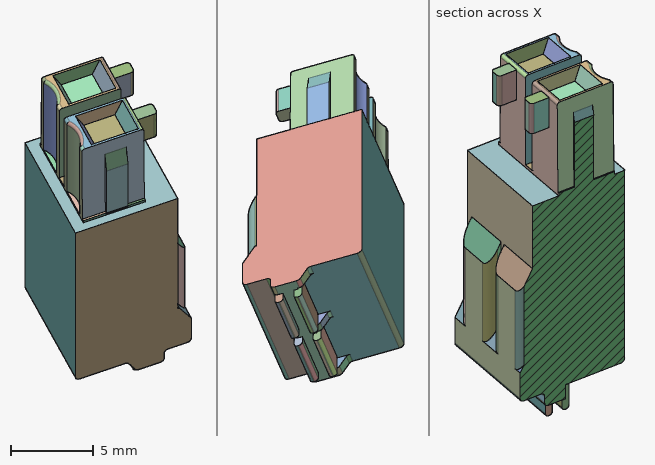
import cadquery as cq
import math

width = 7.7
depth = 7.7
height = 22.92
pole_pitch = 3.53
pole_centers = (-pole_pitch / 2, pole_pitch / 2)

body_bottom = 1.82
body_top = 16.1
upper_back_y = 6.79
ledge_back_y = 6.89
body_edge_radius = 0.3

chamfer_angle = math.radians(60)
lower_chamfer_start = 4.03
lobe_flat_top = 9.86
lobe_width = 3.19
lobe_radius = 0.65

foot_bottom = 0.78
foot_back_y = 5.9
foot_tip_y = 4.05
foot_angle = math.radians(60)
foot_outer_radius = 0.3
foot_inner_radius = 0.25
pin_thickness = 0.52
pin_width = 2.92
pin_center_pitch = 1.22
pin_side_gap = 0.07
front_pin_y = 4.35
pin_tip_radius = 0.24

base_width = 6.6
base_top = 16.295
tower_width = 2.8
tower_draft = 0.08
tower_front_y = 0.76
tower_back_y = 4.87
tower_edge_radius = 0.2
groove_width = 1.94
groove_depth = 0.32

funnel_wall = 0.15
funnel_top_front_y = 1.45
funnel_top_back_y = 4.57
funnel_side_taper = 0.15
funnel_floor_front_y = 1.94
funnel_floor_back_y = 4.0
funnel_depth = 0.95

latch_reach = 0.2
latch_front_y = 2.28
latch_back_y = 3.7
latch_top = 21.82
latch_ramp_end = 20.43

post_width = 0.84
post_back_y = 6.18
post_top = 22.79
post_bottom = 20.56
post_radius = 0.23


def box(x_min, x_max, y_min, y_max, z_min, z_max):
    """Block between the given limits."""
    return (
        cq.Workplane("XY", origin=((x_min + x_max) / 2, (y_min + y_max) / 2, z_min))
        .rect(x_max - x_min, y_max - y_min)
        .extrude(z_max - z_min)
    )


def side_profile(points, span):
    """Extrude a closed (y, z) outline along X, centred on zero."""
    return cq.Workplane("YZ").polyline(points).close().extrude(span / 2, both=True)


def make_body():
    """Housing whose deeper lower part ends in a chamfer and a narrow ledge."""
    ledge_z = lower_chamfer_start + (depth - ledge_back_y) * math.tan(chamfer_angle)
    body = side_profile(
        [
            (0, body_bottom),
            (depth, body_bottom),
            (depth, lower_chamfer_start),
            (ledge_back_y, ledge_z),
            (upper_back_y, ledge_z),
            (upper_back_y, body_top),
            (0, body_top),
        ],
        width,
    )
    return body.edges("|X and <Z").fillet(body_edge_radius)


def make_back_bulge():
    """Lobes rounded along their back edges and cut off by a slope at the top."""
    bulge = cq.Workplane()
    for center in pole_centers:
        lobe = box(
            center - lobe_width / 2, center + lobe_width / 2, 0, depth, lower_chamfer_start, body_top
        )
        bulge = bulge.union(lobe.edges("|Z and >Y").fillet(lobe_radius))
    slope_rise = depth * math.tan(chamfer_angle)
    envelope = side_profile(
        [
            (0, lower_chamfer_start),
            (depth, lower_chamfer_start),
            (depth, lobe_flat_top),
            (0, lobe_flat_top + slope_rise),
        ],
        width,
    )
    return bulge.intersect(envelope)


def make_foot():
    """Foot with a sloped front, blended into the housing underside."""
    slope_run = (body_bottom - foot_bottom) / math.tan(foot_angle)
    root = body_bottom + body_edge_radius
    blend_front_y = foot_tip_y - slope_run - 2 * foot_inner_radius
    blend_back_y = foot_back_y + 2 * foot_inner_radius
    foot = side_profile(
        [
            (foot_tip_y, foot_bottom),
            (foot_back_y, foot_bottom),
            (foot_back_y, body_bottom),
            (blend_back_y, body_bottom),
            (blend_back_y, root),
            (blend_front_y, root),
            (blend_front_y, body_bottom),
            (foot_tip_y - slope_run, body_bottom),
        ],
        width,
    )
    foot = foot.edges("|X and <Z").fillet(foot_outer_radius)
    concave_corners = cq.selectors.BoxSelector(
        (-width, blend_front_y + foot_inner_radius, body_bottom - foot_inner_radius / 2),
        (width, blend_back_y - foot_inner_radius, body_bottom + foot_inner_radius / 2),
    )
    return foot.edges("|X").edges(concave_corners).fillet(foot_inner_radius)


def make_pin_pocket(center):
    """Pocket in the foot that stands clear of the front face and sides of a front pin."""
    half_width = pin_width / 2 + pin_side_gap
    return box(center - half_width, center + half_width, 0, front_pin_y, 0, body_bottom)


def make_pin(center, pin_y):
    """Flat contact pin with a rounded tip."""
    pin = box(
        center - pin_width / 2,
        center + pin_width / 2,
        pin_y - pin_thickness / 2,
        pin_y + pin_thickness / 2,
        0,
        body_bottom,
    )
    return pin.edges("|X and <Z").fillet(pin_tip_radius)


def make_tower(center):
    """Tower with a drafted outer side and a shallow arc groove down its front face."""
    outward = math.copysign(1, center)
    inner_x = center - outward * tower_width / 2
    foot_x = center + outward * tower_width / 2
    top_x = foot_x - outward * tower_draft
    tower = (
        cq.Workplane("XZ", origin=(0, tower_back_y, 0))
        .polyline([(inner_x, base_top), (foot_x, base_top), (top_x, height), (inner_x, height)])
        .close()
        .extrude(tower_back_y - tower_front_y)
    )
    half_groove = groove_width / 2
    groove = (
        cq.Workplane("XY", origin=(0, 0, base_top))
        .moveTo(center - half_groove, tower_front_y)
        .threePointArc((center, tower_front_y + groove_depth), (center + half_groove, tower_front_y))
        .close()
        .extrude(height - base_top)
    )
    top_face = tower.cut(groove).faces(">Z")
    return top_face.edges("not (<X or >X)").fillet(tower_edge_radius)


def make_funnel(center):
    """Tapered wire entry sunk into a tower top."""
    outward = math.copysign(1, center)
    top_width = tower_width - tower_draft - 2 * funnel_wall
    floor_width = top_width - 2 * funnel_side_taper
    top_length = funnel_top_back_y - funnel_top_front_y
    floor_length = funnel_floor_back_y - funnel_floor_front_y
    top_x = center - outward * tower_draft / 2
    top_y = (funnel_top_back_y + funnel_top_front_y) / 2
    floor_y = (funnel_floor_back_y + funnel_floor_front_y) / 2
    return (
        cq.Workplane("XY", origin=(top_x, top_y, height))
        .rect(top_width, top_length)
        .workplane(offset=-funnel_depth)
        .center(0, floor_y - top_y)
        .rect(floor_width, floor_length)
        .loft(ruled=True)
    )


def make_latch(center):
    """Wedge on the tower side that faces away from the other pole."""
    outward = math.copysign(1, center)
    wall_x = center + outward * tower_width / 2
    tip_x = wall_x + outward * latch_reach
    return (
        cq.Workplane("XZ", origin=(0, latch_back_y, 0))
        .polyline(
            [
                (center, base_top),
                (tip_x, base_top),
                (tip_x, latch_ramp_end),
                (wall_x - outward * tower_draft, latch_top),
                (center, latch_top),
            ]
        )
        .close()
        .extrude(latch_back_y - latch_front_y)
    )


def make_post(center):
    """Small post behind a tower, rounded along its back edges."""
    post = box(
        center - post_width / 2,
        center + post_width / 2,
        tower_back_y - tower_edge_radius,
        post_back_y,
        post_bottom,
        post_top,
    )
    return post.edges("|Z and >Y").fillet(post_radius)


base = box(-base_width / 2, base_width / 2, tower_front_y, tower_back_y, body_top, base_top)
result = make_body().union(make_back_bulge()).union(make_foot()).union(base)
for pole_center in pole_centers:
    result = result.cut(make_pin_pocket(pole_center))
    for pin_y in (front_pin_y, front_pin_y + pin_center_pitch):
        result = result.union(make_pin(pole_center, pin_y))
    result = result.union(make_tower(pole_center))
    result = result.union(make_latch(pole_center))
    result = result.union(make_post(pole_center))
    result = result.cut(make_funnel(pole_center))